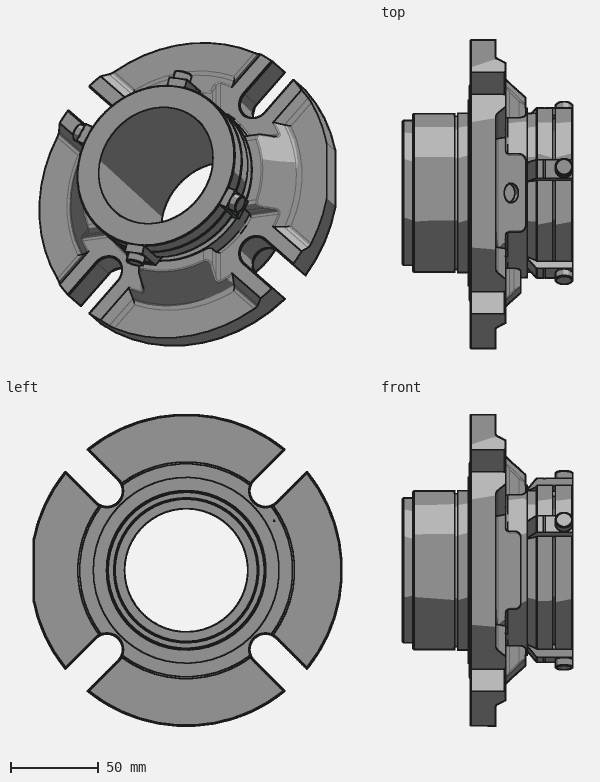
import cadquery as cq
import math


x_shoulder = 6.0
x_groove = 29.9
x_spigot = 31.6
x_inner_step = 37.6
x_outer_step = 38.2
x_flange = 38.6
x_flange_back = 53.2
x_pad = 58.8
x_short_sector = 67.6
x_sector = 70.3
x_hub_end = 71.2
x_collar = 76.2
x_slit = 85.7
x_rim = 87.1
x_end = 97.09

bore_d = 70.0
nose_d = 82.53
barrel_d = 90.37
groove_d = 87.35
spigot_d = 90.81
inner_step_d = 105.77
outer_step_d = 123.4
outer_step_face_d = 121.2
flange_d = 177.55
core_d = 96.67
neck_d = 90.47
slit_d = 84.53
edge_chamfer = 0.8
flange_chamfer = 0.6
rim_chamfer = 0.5

flange_span_y = 175.92
flat_y = flange_span_y - flange_d / 2
slot_w = 17.7
slot_center_r = 63.8
pad_half_top = 17.7
quadrant_angles = (45, 135, 225, 315)

cone_base_r = 70.2
cone_angle = 43.0
sector_angles = (0, 90, 180, 270)
short_sector_angle = 180
sector_half_w = 22.3
sector_corner_r = 4.0
sector_foot_r = 2.0
sector_edge_r = 1.2
foot_r = 1.2
root_fillet_r = 4.0
port_d = 11.0
port_depth = 3.0
port_x = 62.1

lug_angles = (75, 150, 255, 330)
lug_half_w = 5.5
lug_r = 52.8
lug_foot_r = 46.2
lug_root_r = 47.9
lug_bend = 0.7
lug_line_x = 80.3
lug_line_w = 1.2
lug_line_depth = 0.2
screw_d = 10.0
screw_tip_r = 57.5
screw_chamfer = 0.5


def cylinder(diameter, x0, x1):
    return cq.Workplane("YZ").workplane(offset=x0).circle(diameter / 2).extrude(x1 - x0)


def turn(shape, angle):
    """Rotate a shape about the X axis; +Y turns toward +Z."""
    return shape.rotate((0, 0, 0), (1, 0, 0), angle)


def cone_radius(x):
    return cone_base_r - (x - x_flange_back) * math.tan(math.radians(cone_angle))


def fillet_tangent(radius, slope):
    """Tangent length of a fillet between a face and a surface leaning by slope degrees off its normal."""
    return radius * math.tan(math.radians((90 - slope) / 2))


def sleeve():
    nose = cylinder(nose_d, 0, x_shoulder).faces("<X").chamfer(edge_chamfer)
    barrel = cylinder(barrel_d, x_shoulder, x_groove).faces("<X").chamfer(edge_chamfer)
    groove = cylinder(groove_d, x_groove, x_spigot)
    spigot = cylinder(spigot_d, x_spigot, x_flange)
    return nose.union(barrel).union(groove).union(spigot)


def slot_outline(x, width):
    """U-shaped slot outline, open along +Y past the flange rim."""
    half_w = width / 2
    return (
        cq.Workplane("YZ", origin=(x, 0, 0))
        .moveTo(flange_d, -half_w)
        .lineTo(slot_center_r, -half_w)
        .threePointArc((slot_center_r - half_w, 0), (slot_center_r, half_w))
        .lineTo(flange_d, half_w)
        .close()
    )


def slot():
    """Bolt slot running out along +Y, bevelled at the pad."""
    channel = slot_outline(x_inner_step, slot_w).extrude(x_pad - x_inner_step)
    bevel = slot_outline(x_pad, slot_w + 2 * flange_chamfer).extrude(-flange_chamfer, taper=45)
    return channel.union(bevel)


def pad():
    """Raised bolt pad with ramped sides, running out along +Y."""
    tangent = fillet_tangent(root_fillet_r, cone_angle)
    half_base = pad_half_top + (x_pad - x_flange_back) * math.tan(math.radians(cone_angle))
    foot_half_w = half_base + tangent
    ramp_half_w = half_base - tangent * math.sin(math.radians(cone_angle))
    ramp_x = x_flange_back + tangent * math.cos(math.radians(cone_angle))
    return (
        cq.Workplane("XZ")
        .moveTo(x_flange, -foot_half_w)
        .lineTo(x_flange_back, -foot_half_w)
        .radiusArc((ramp_x, -ramp_half_w), root_fillet_r)
        .lineTo(x_pad, -pad_half_top)
        .lineTo(x_pad, pad_half_top)
        .lineTo(ramp_x, ramp_half_w)
        .radiusArc((x_flange_back, foot_half_w), root_fillet_r)
        .lineTo(x_flange, foot_half_w)
        .close()
        .extrude(-flange_d / 2)
    )


def flange():
    body = cylinder(flange_d, x_flange, x_flange_back)
    for angle in quadrant_angles:
        body = body.union(turn(pad(), angle))
    body = body.intersect(cylinder(flange_d, x_flange, x_hub_end))
    keep = cq.Workplane("XY").box(x_end, flange_d, flange_d).translate(
        (x_end / 2, flat_y - flange_d / 2, 0)
    )
    body = body.intersect(keep)
    for angle in quadrant_angles:
        body = body.cut(turn(slot(), angle))
    body = body.faces("<X").chamfer(flange_chamfer)
    step = outer_step()
    for angle in quadrant_angles:
        step = step.cut(turn(slot(), angle))
    body = body.union(step)
    inner_step = cylinder(inner_step_d, x_inner_step, x_flange)
    return body.union(inner_step)


def outer_step():
    """Thin raised ring with a bevelled rim on the flange front."""
    return cq.Workplane(
        cq.Solid.makeCone(
            outer_step_face_d / 2,
            outer_step_d / 2,
            x_flange - x_outer_step,
            cq.Vector(x_outer_step, 0, 0),
            cq.Vector(1, 0, 0),
        )
    )


def sector(x_top):
    """Straight block on the +Y side with rounded shoulders and flared feet, untrimmed by the cone."""
    foot_w = sector_half_w + sector_foot_r
    return (
        cq.Workplane("XZ")
        .moveTo(x_pad, -foot_w)
        .radiusArc((x_pad + sector_foot_r, -sector_half_w), sector_foot_r)
        .lineTo(x_top - sector_corner_r, -sector_half_w)
        .radiusArc((x_top, -sector_half_w + sector_corner_r), -sector_corner_r)
        .lineTo(x_top, sector_half_w - sector_corner_r)
        .radiusArc((x_top - sector_corner_r, sector_half_w), -sector_corner_r)
        .lineTo(x_pad + sector_foot_r, sector_half_w)
        .radiusArc((x_pad, foot_w), sector_foot_r)
        .close()
        .extrude(-flange_d / 2)
    )


def cone(x_top):
    return (
        cq.Workplane("XY")
        .moveTo(x_flange_back, 0)
        .lineTo(x_flange_back, cone_base_r)
        .lineTo(x_top, cone_radius(x_top))
        .lineTo(x_top, 0)
        .close()
        .revolve(360, (0, 0, 0), (1, 0, 0))
    )


def split_cone():
    """Cone milled away down to the pad level between its four sectors."""
    waste = cylinder(flange_d, x_pad, x_hub_end)
    for angle in sector_angles:
        x_top = x_short_sector if angle == short_sector_angle else x_sector
        waste = waste.cut(turn(sector(x_top), angle))
    milled = turn(cone(x_sector), quadrant_angles[0]).cut(waste)
    rims = cq.selectors.BoxSelector(
        (x_pad + sector_edge_r, -flange_d, -flange_d), (x_end, flange_d, flange_d)
    )
    return milled.faces("%CONE").edges(rims).fillet(sector_edge_r)


def foot_ring(x, foot_radius, slope, fillet_r):
    """Concave fillet ring where a surface rises from the face at x, closing in by the slope angle."""
    tangent = fillet_tangent(fillet_r, slope)
    end_x = x + tangent * math.cos(math.radians(slope))
    end_radius = foot_radius - tangent * math.sin(math.radians(slope))
    return (
        cq.Workplane("XY")
        .moveTo(x, end_radius - fillet_r)
        .lineTo(x, foot_radius + tangent)
        .radiusArc((end_x, end_radius), -fillet_r)
        .lineTo(end_x, end_radius - fillet_r)
        .close()
        .revolve(360, (0, 0, 0), (1, 0, 0))
    )


def port():
    """Blind port in the +Z sector, square to the cone."""
    tilt = math.radians(cone_angle)
    normal = cq.Vector(math.sin(tilt), 0, math.cos(tilt))
    mouth = cq.Vector(port_x, 0, cone_radius(port_x))
    start = mouth - normal * port_depth
    return cq.Workplane(cq.Solid.makeCylinder(port_d / 2, 2 * port_depth, start, normal))


def hub():
    body = cylinder(core_d, x_flange_back, x_hub_end).union(split_cone())
    body = body.union(foot_ring(x_flange_back, cone_base_r, cone_angle, root_fillet_r))
    body = body.union(foot_ring(x_pad, core_d / 2, 0, foot_r))
    for angle in quadrant_angles:
        body = body.cut(turn(slot(), angle))
    return body.cut(port())


def lug():
    """Lug and screw head pointing along +Y."""
    block = (
        cq.Workplane("XY")
        .moveTo(x_hub_end, neck_d / 2)
        .lineTo(x_hub_end, lug_foot_r)
        .lineTo(x_collar, lug_r - lug_bend / 2)
        .lineTo(x_collar + lug_bend, lug_r)
        .lineTo(lug_line_x, lug_r)
        .lineTo(lug_line_x, lug_r - lug_line_depth)
        .lineTo(lug_line_x + lug_line_w, lug_r - lug_line_depth)
        .lineTo(lug_line_x + lug_line_w, lug_r)
        .lineTo(x_end, lug_r)
        .lineTo(x_end, lug_root_r)
        .lineTo(x_collar + edge_chamfer, lug_root_r)
        .close()
        .extrude(lug_half_w, both=True)
    )
    screw = (
        cq.Workplane("XZ", origin=(x_end - screw_d / 2, lug_root_r, 0))
        .circle(screw_d / 2)
        .extrude(lug_root_r - screw_tip_r)
        .faces(">Y")
        .chamfer(screw_chamfer)
    )
    return block.union(screw)


def collar():
    neck = cylinder(neck_d, x_hub_end, x_collar)
    band = cylinder(core_d, x_collar, x_slit).faces("<X").chamfer(edge_chamfer)
    slit = cylinder(slit_d, x_slit, x_rim)
    rim = cylinder(core_d, x_rim, x_end).faces(">X").chamfer(rim_chamfer)
    body = neck.union(band).union(slit).union(rim)
    for angle in lug_angles:
        body = body.union(turn(lug(), angle))
    return body


result = sleeve().union(flange()).union(hub()).union(collar()).cut(cylinder(bore_d, 0, x_end))